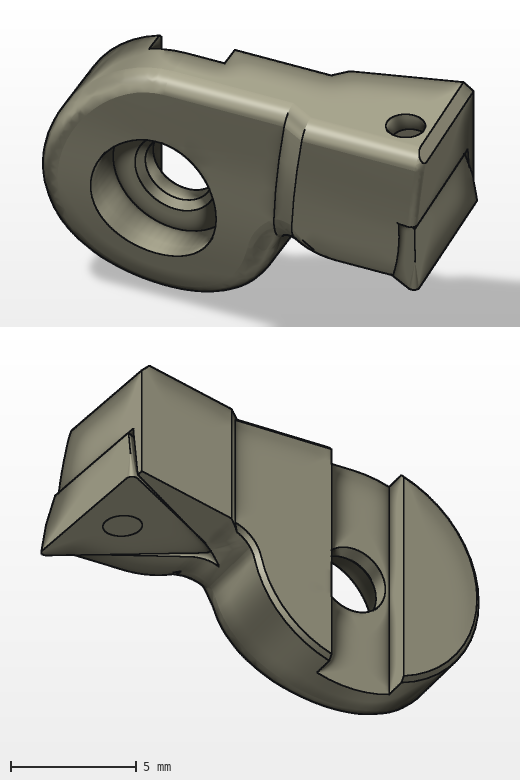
import cadquery as cq
import math


DISC_R = 5.2
NECK_R = 1.5
OVERSIZE = 20.0

DOME_R = 11.0
FRONT_Y = -4.46
STEP_RISE = 0.6
STEP_START_X = 5.27
STEP_END_X = 6.31
RIM_FILLET = 1.0
RUNOUT_END_X = 8.4
RUNOUT_POWER = 2.2
RUNOUT_SECTIONS = 5
RUNOUT_LAST_SHARE = 0.95

BACK_CHAMFER = 0.2
FLARE_START_X = 6.07
FLARE_RISE = 0.37
FLARE_ANGLE = 15.0
ARM_TIP_X = 11.27
END_ANGLE = 3.0
END_BEVEL = 0.4
END_FILLET = 0.3

BORE_R = 1.48
BORE_CHAMFER = 0.31
COUNTERBORE_R = 2.75
COUNTERBORE_FLOOR_Y = -2.27
SLOT_WIDTH = 3.3
SLOT_DEPTH = 1.2

INSERT_EDGE = 7.18
INSERT_THICKNESS = 2.5
INSERT_CLEARANCE = 11.0
INSERT_TILT = 3.0
EDGE_MID = (11.825, -2.053, -0.15)
NOSE_R = 0.25
NOSE_LEFT_SHARE = 0.03
POCKET_TAPER = 5.5
POCKET_GAP = 0.06

PIN_R = 0.79
MOUTH_CENTER = cq.Vector(9.99, -2.11, DISC_R)
PIN_TOP_CENTER = MOUTH_CENTER + cq.Vector(0.26, -0.04, -0.65)

arm_front_y = FRONT_Y - STEP_RISE
flare_end_x = FLARE_START_X + FLARE_RISE
arm_tip_y = FLARE_RISE + (ARM_TIP_X - flare_end_x) * math.tan(math.radians(FLARE_ANGLE))
end_direction = (math.cos(math.radians(END_ANGLE)), math.sin(math.radians(END_ANGLE)), 0)
insert_plane = cq.Plane(EDGE_MID, end_direction, (0, 0, 1)).rotated((0, INSERT_TILT, 0))
insert_apothem = INSERT_EDGE / (2 * math.sqrt(3))


def arc_point(center, radius, degrees):
    angle = math.radians(degrees)
    return (center[0] + radius * math.cos(angle), center[1] + radius * math.sin(angle))



def triangle_prism(start, height, taper, inset=0, nose_r=0):
    """Tapered triangle on the insert plane; its outer side is the cutting edge moved in by inset."""
    corner_r = 2 * (insert_apothem - inset)
    corners = [arc_point((-insert_apothem, 0), corner_r, angle) for angle in (60, 180, 300, 60)]
    profile = cq.Sketch().polygon(corners)
    if nose_r:
        profile = profile.vertices().fillet(nose_r)
    return (
        cq.Workplane(insert_plane)
        .workplane(offset=start)
        .placeSketch(profile)
        .extrude(height, taper=taper)
    )


def make_insert():
    """Tapered triangle whose conical noses shrink to sharp corners part-way up."""
    slope = math.tan(math.radians(INSERT_CLEARANCE))
    nose_height = (1 - NOSE_LEFT_SHARE) * NOSE_R / slope
    lower = triangle_prism(0, nose_height, INSERT_CLEARANCE, nose_r=NOSE_R)
    upper = triangle_prism(
        nose_height, INSERT_THICKNESS - nose_height, INSERT_CLEARANCE, inset=nose_height * slope
    )
    return lower.union(upper).cut(make_pin())


def make_pin():
    """Pin square to the insert, reaching down to its cutting face."""
    length = insert_plane.toLocalCoords(PIN_TOP_CENTER).z
    top_plane = cq.Plane(PIN_TOP_CENTER, insert_plane.xDir, insert_plane.zDir)
    return cq.Workplane(top_plane).circle(PIN_R).extrude(-length)



def side_prism():
    """Disc, straight top, level arm underside and concave neck, extruded along Y."""
    neck_x = math.sqrt((DISC_R + NECK_R) ** 2 - NECK_R ** 2)
    neck_center = (neck_x, -NECK_R)
    neck_angle = math.degrees(math.atan2(NECK_R, neck_x))
    disc_mid_angle = (90 + 360 - neck_angle) / 2
    neck_mid_angle = (90 + 180 - neck_angle) / 2
    return (
        cq.Workplane("XZ", origin=(0, OVERSIZE / 2, 0))
        .moveTo(0, DISC_R)
        .threePointArc(arc_point((0, 0), DISC_R, disc_mid_angle), arc_point((0, 0), DISC_R, -neck_angle))
        .threePointArc(arc_point(neck_center, NECK_R, neck_mid_angle), (neck_x, 0))
        .lineTo(OVERSIZE, 0)
        .lineTo(OVERSIZE, DISC_R)
        .close()
        .extrude(OVERSIZE)
    )


def plan_prism():
    """Plan outline: flat back, flared arm back and angled end."""
    front_end_x = ARM_TIP_X + (arm_tip_y + OVERSIZE) * math.tan(math.radians(END_ANGLE))
    return (
        cq.Workplane("XY", origin=(0, 0, -OVERSIZE / 2))
        .polyline([
            (-OVERSIZE, 0),
            (FLARE_START_X, 0),
            (flare_end_x, FLARE_RISE),
            (ARM_TIP_X, arm_tip_y),
            (front_end_x, -OVERSIZE),
            (-OVERSIZE, -OVERSIZE),
        ])
        .close()
        .extrude(OVERSIZE)
    )


def domed_blank(front_y):
    """Side prism with its front bounded by the dome, whose crest is at front_y."""
    barrel = (
        cq.Workplane("YZ", origin=(-OVERSIZE, front_y + DOME_R, 0))
        .circle(DOME_R)
        .extrude(2 * OVERSIZE)
    )
    return side_prism().intersect(barrel)


def x_slab(start, end):
    """Everything between two X positions."""
    return cq.Workplane("YZ", origin=(start, 0, 0)).rect(2 * OVERSIZE, 2 * OVERSIZE).extrude(end - start)


def round_front_rim(blank, lowest_z):
    """Round the front edges that run along X and lie above lowest_z."""
    front = cq.selectors.BoxSelector((-OVERSIZE, -OVERSIZE, lowest_z), (OVERSIZE, FRONT_Y / 2, OVERSIZE))
    rim = [edge for edge in blank.edges(front).vals() if edge.BoundingBox().xlen > RIM_FILLET]
    return cq.Workplane(blank.val().fillet(RIM_FILLET, rim))


def runout_cutter():
    """Corner cutter along the arm's lower front edge; its radius shrinks to almost nothing."""
    margin = RIM_FILLET
    sections = []
    for index in range(RUNOUT_SECTIONS):
        share = RUNOUT_LAST_SHARE * index / (RUNOUT_SECTIONS - 1)
        x = STEP_END_X + share * (RUNOUT_END_X - STEP_END_X)
        radius = RIM_FILLET * (1 - share) ** RUNOUT_POWER
        face_y = arm_front_y + DOME_R - math.sqrt(DOME_R ** 2 - radius ** 2)
        section = (
            cq.Workplane("YZ", origin=(x, 0, 0))
            .moveTo(face_y, radius)
            .threePointArc(arc_point((face_y + radius, radius), radius, 225), (face_y + radius, 0))
            .lineTo(face_y + radius, -margin)
            .lineTo(face_y - margin, -margin)
            .lineTo(face_y - margin, radius)
            .close()
        )
        sections.append(section.wires().val())
    return cq.Workplane(cq.Solid.makeLoft(sections))


def stepped_body():
    """Disc and arm joined by a step that is the disc's own shape sheared forward."""
    rounded = round_front_rim(domed_blank(FRONT_Y), -OVERSIZE)
    disc = rounded.intersect(x_slab(-OVERSIZE, STEP_START_X))

    slope = STEP_RISE / (STEP_END_X - STEP_START_X)
    shear = cq.Matrix([[1, 0, 0, 0], [-slope, 1, 0, slope * STEP_START_X], [0, 0, 1, 0]])
    sheared = cq.Workplane(rounded.val().transformGeometry(shear))
    step = sheared.intersect(x_slab(STEP_START_X, STEP_END_X))

    arm = domed_blank(arm_front_y).intersect(x_slab(STEP_END_X, OVERSIZE))
    arm = round_front_rim(arm, DISC_R / 2).cut(runout_cutter())
    return disc.union(step).union(arm).intersect(plan_prism())



def chamfer_back(housing):
    """Chamfer the outline of the flat back, all but its straight border with the flare."""
    flat_back = housing.faces(cq.selectors.BoxSelector((-DISC_R, -0.01, -DISC_R), (DISC_R, 0.01, DISC_R)))
    outline = [edge for edge in flat_back.edges().vals() if edge.BoundingBox().xlen > BACK_CHAMFER]
    return cq.Workplane(housing.val().chamfer(BACK_CHAMFER, None, outline))


def round_arm_end(housing):
    """Round the edge where the end face meets the domed front."""
    end_front = cq.selectors.BoxSelector(
        (ARM_TIP_X, -OVERSIZE, RIM_FILLET), (OVERSIZE, FRONT_Y, DISC_R - RIM_FILLET)
    )
    return cq.Workplane(housing.val().fillet(END_FILLET, housing.edges(end_front).vals()))


def end_bevel_cutter():
    """Wedge that bevels the top edge of the end face."""
    corner = cq.Plane((ARM_TIP_X, arm_tip_y, DISC_R), end_direction, (0, 0, 1)).rotated((90, 0, 0))
    reach = 2 * END_BEVEL
    return (
        cq.Workplane(corner)
        .polyline([(-reach, reach - END_BEVEL), (reach, reach - END_BEVEL), (reach, -reach - END_BEVEL)])
        .close()
        .extrude(OVERSIZE, both=True)
    )


def bore_cutter():
    """Through bore, its counterbore, and the chamfer between them."""
    bore = cq.Workplane("XZ").circle(BORE_R).extrude(OVERSIZE)
    counterbore = (
        cq.Workplane("XZ", origin=(0, COUNTERBORE_FLOOR_Y, 0))
        .circle(COUNTERBORE_R)
        .extrude(OVERSIZE)
    )
    chamfer = cq.Solid.makeCone(
        BORE_R + BORE_CHAMFER, BORE_R, BORE_CHAMFER,
        cq.Vector(0, COUNTERBORE_FLOOR_Y, 0), cq.Vector(0, 1, 0),
    )
    return bore.union(counterbore).union(cq.Workplane(chamfer))


def slot_cutter():
    """Slot across the back, running the full height of the disc."""
    return cq.Workplane("XY").box(SLOT_WIDTH, 2 * SLOT_DEPTH, OVERSIZE)


def pocket_cutter():
    """Pocket that seats the back of the insert, open below the cutting face."""
    seat = triangle_prism(0, INSERT_THICKNESS, POCKET_TAPER, inset=-POCKET_GAP)
    opening = triangle_prism(0, -INSERT_THICKNESS, 0, inset=-POCKET_GAP)
    return seat.union(opening)


def mouth_cutter():
    """Slanted opening from the top face down to the end of the clamping pin."""
    rim = cq.Wire.makeCircle(PIN_R, MOUTH_CENTER, cq.Vector(0, 0, 1))
    pin_end = cq.Wire.makeCircle(PIN_R, PIN_TOP_CENTER, insert_plane.zDir)
    return cq.Workplane(cq.Solid.makeLoft([pin_end, rim]))


def make_housing():
    housing = round_arm_end(chamfer_back(stepped_body()))
    cutters = [
        end_bevel_cutter(), bore_cutter(), slot_cutter(), pocket_cutter(), mouth_cutter(), make_pin(),
    ]
    for cutter in cutters:
        housing = housing.cut(cutter)
    return housing


housing = make_housing()
insert = make_insert()
pin = make_pin()

result = cq.Compound.makeCompound([housing.solids().val(), insert.solids().val(), pin.val()])